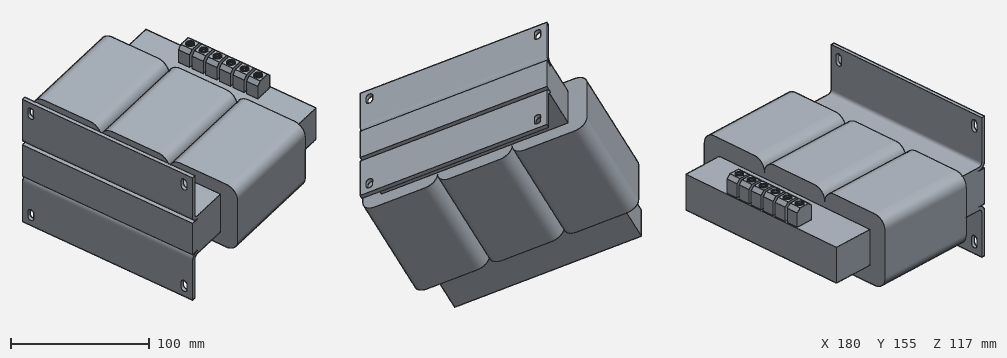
import cadquery as cq
import math


coil_count = 3
overall_width = 180.0
coil_pitch = overall_width / coil_count
coil_height = coil_pitch
coil_length = 85.0
coil_corner_radius = coil_pitch / 6

core_width = 2.5 * coil_pitch
core_depth = 155.0
core_height = coil_height / 2

bracket_span = 117.0
sheet_thickness = 3.0
bend_inner_radius = sheet_thickness
bend_outer_radius = bend_inner_radius + sheet_thickness
slot_width = 5.0
slot_length = 10.0
slot_spacing_x = 135.0
slot_spacing_z = 97.0

terminal_count = 6
terminal_pitch = coil_pitch / 5
terminal_width = 9.9
terminal_depth = 15.1
terminal_chamfer = 3.0
terminal_rear_gap = 1.0
screw_hole_diameter = 6.5
screw_hole_depth = 1.8
screw_head_diameter = 5.0
screw_socket_diameter = 3.6

core_front = -core_depth / 2
core_top = core_height / 2
coil_top = coil_height / 2
coil_front = -coil_length / 2
terminal_y = core_depth / 2 - terminal_rear_gap - terminal_depth / 2


def row_positions(count, pitch):
    """X positions of a row of equally spaced items centred on the part."""
    return [(index - (count - 1) / 2) * pitch for index in range(count)]


def make_coil(x):
    """One winding, rounded along its length."""
    coil = cq.Workplane("XY").box(coil_pitch, coil_length, coil_height)
    return coil.edges("|Y").fillet(coil_corner_radius).translate((x, 0, 0))


def make_upper_bracket():
    """L-shaped sheet lying on the core and turned up at the core's front face."""
    plate_top = core_top + sheet_thickness
    flange_back = core_front + sheet_thickness
    bend_center_y = core_front + bend_outer_radius
    bend_center_z = core_top + bend_outer_radius
    outer_reach = bend_outer_radius * math.sqrt(0.5)
    inner_reach = bend_inner_radius * math.sqrt(0.5)
    outer_mid = (bend_center_y - outer_reach, bend_center_z - outer_reach)
    inner_mid = (bend_center_y - inner_reach, bend_center_z - inner_reach)
    sheet = (
        cq.Workplane("YZ")
        .moveTo(coil_front, core_top)
        .lineTo(bend_center_y, core_top)
        .threePointArc(outer_mid, (core_front, bend_center_z))
        .lineTo(core_front, bracket_span / 2)
        .lineTo(flange_back, bracket_span / 2)
        .lineTo(flange_back, bend_center_z)
        .threePointArc(inner_mid, (bend_center_y, plate_top))
        .lineTo(coil_front, plate_top)
        .close()
        .extrude(core_width / 2, both=True)
    )
    slots = (
        cq.Workplane("XZ", origin=(0, flange_back, slot_spacing_z / 2))
        .rarray(slot_spacing_x, 1.8, 2, 1)
        .slot2D(slot_length, slot_width, angle=90)
        .extrude(sheet_thickness)
    )
    return sheet.cut(slots)


def make_terminal(x):
    """Chamfered block with a socket screw flush with its top face."""
    height = coil_top - core_top
    block = (
        cq.Workplane("XY")
        .box(terminal_width, terminal_depth, height, centered=(True, True, False))
        .faces(">Z")
        .edges("|X")
        .chamfer(terminal_chamfer)
        .faces(">Z")
        .workplane()
        .hole(screw_hole_diameter, screw_hole_depth)
    )
    screw = (
        cq.Workplane("XY", origin=(0, 0, height - screw_hole_depth))
        .circle(screw_head_diameter / 2)
        .circle(screw_socket_diameter / 2)
        .extrude(screw_hole_depth)
    )
    return block.union(screw).translate((x, terminal_y, core_top))


result = cq.Workplane("XY").box(core_width, core_depth, core_height)

for coil_x in row_positions(coil_count, coil_pitch):
    result = result.union(make_coil(coil_x))

upper_bracket = make_upper_bracket()
result = result.union(upper_bracket).union(upper_bracket.mirror("XY"))

for terminal_x in row_positions(terminal_count, terminal_pitch):
    result = result.union(make_terminal(terminal_x))